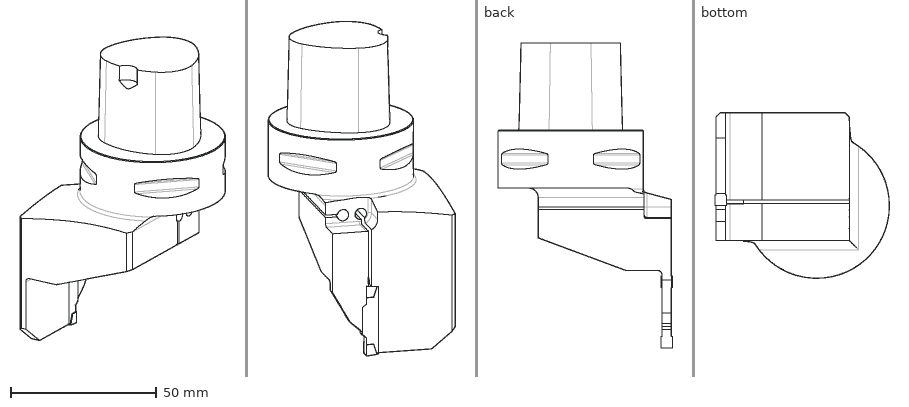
import cadquery as cq
import math

overlap = 1.0

flange_radius = 25.0
flange_height = 20.0
flange_chamfer = 0.3

groove_angles = (45, 135, 225, 315)
groove_floor_radius = 22.3
groove_centre_z = -10.0
groove_floor_width = 3.5
groove_mouth_width = 6.9
groove_floor_fillet = 0.7

shank_height = 30.0
shank_lobe_radius = 18.75
shank_flat_radius = 16.55
shank_seam_radius = 17.85
seam_half_angle = 24.6
first_lobe_angle = 90
lobe_count = 3
lobe_spacing = 360 / lobe_count
shank_taper = 1.4

notch_radius = 4.0
notch_axis_y = -17.3
notch_depth = 5.3
notch_point_depth = 3.2

block_left = -34.65
block_right = 11.2
block_front = -32.0
block_back = 12.0
flare_radius = 3.2
corner_chamfer = 1.5
block_right_bottom = -37.1
block_floor = -48.3
block_floor_end_x = -18.9

cone_angle = 15.0
cone_start_z = -21.2
cone_blend_radius = 1.2
cone_outer_radius = 60.0

blade_thickness = 3.3
blade_root_fillet = 1.5
blade_bottom = -74.2
blade_bottom_end_y = -23.2
blade_front_bottom = -67.2
arm_outline = ((block_back, -51.5), (5.5, -62.9), (1.4, -66.5))

pocket_wall_x = -25.2
pocket_side_y = -4.0
pocket_floor = -30.5
pocket_side_fillet = 4.0
pocket_wall_fillet = 1.0

relief_diameter = 4.0
relief_z = -26.9
outer_relief_y = 5.85
inner_relief_y = -0.5
outer_slot_width = 0.9
clamp_slot_width = 1.2
clamp_slot_y = -1.27

insert_length = 24.9
insert_top = -50.1
insert_centre_z = insert_top - insert_length / 2
insert_seat_y = -4.25
insert_end_relief = 0.4
insert_crown_y = 1.4
insert_crown_half_length = 4.95
insert_shoulder_half_length = 6.0
head_width = 4.0
head_half_length = 8.4
head_inner_y = -2.55
head_outer_y = -3.75
insert_centre_x = block_left + blade_thickness / 2


def polar(radius, degrees):
    angle = math.radians(degrees)
    return (radius * math.cos(angle), radius * math.sin(angle))


def make_flange():
    flange = cq.Workplane("XY").circle(flange_radius).extrude(-flange_height)
    return flange.faces(">Z").edges().chamfer(flange_chamfer)


def make_gripper_groove(angle):
    """Trapezoidal groove, widening outward from a rounded floor, cut across the flange rim."""
    depth = flange_radius - groove_floor_radius
    slope = (groove_mouth_width - groove_floor_width) / 2 / depth
    outer_radius = flange_radius + overlap
    floor_half = groove_floor_width / 2
    mouth_half = groove_mouth_width / 2 + slope * overlap
    groove = (
        cq.Workplane("XZ")
        .polyline([
            (groove_floor_radius, groove_centre_z - floor_half),
            (outer_radius, groove_centre_z - mouth_half),
            (outer_radius, groove_centre_z + mouth_half),
            (groove_floor_radius, groove_centre_z + floor_half),
        ])
        .close()
        .extrude(flange_radius, both=True)
    )
    groove = groove.faces("<X").edges("|Y").fillet(groove_floor_fillet)
    return groove.rotate((0, 0, 0), (0, 0, 1), angle)


def make_shank():
    """Six arcs, three lobes and three flatter sides, drawn out with a taper."""
    outline = cq.Workplane("XY").moveTo(*polar(shank_seam_radius, first_lobe_angle - seam_half_angle))
    for index in range(lobe_count):
        lobe = first_lobe_angle + index * lobe_spacing
        outline = outline.threePointArc(
            polar(shank_lobe_radius, lobe),
            polar(shank_seam_radius, lobe + seam_half_angle),
        )
        outline = outline.threePointArc(
            polar(shank_flat_radius, lobe + lobe_spacing / 2),
            polar(shank_seam_radius, lobe + lobe_spacing - seam_half_angle),
        )
    return outline.close().extrude(shank_height, taper=shank_taper)


def make_shank_notch():
    """Drilled hole with a conical point, breaking out through the side of the shank."""
    point_z = shank_height - notch_depth
    return (
        cq.Workplane("XZ")
        .polyline([
            (0, point_z - notch_point_depth),
            (notch_radius, point_z),
            (notch_radius, shank_height + overlap),
            (0, shank_height + overlap),
        ])
        .close()
        .revolve(360, (0, 0, 0), (0, 1, 0))
        .translate((0, notch_axis_y, 0))
    )


def make_block():
    """Block and blade: a front profile crossed with a side profile."""
    top = -flange_height
    flare_bottom = top - flare_radius
    flare_mid = flare_radius * (1 - math.sqrt(0.5))
    blade_right = block_left + blade_thickness
    front_profile = (
        cq.Workplane("XZ")
        .moveTo(block_left, top)
        .lineTo(block_right + flare_radius, top)
        .threePointArc((block_right + flare_mid, top - flare_mid), (block_right, flare_bottom))
        .lineTo(block_right, block_right_bottom)
        .lineTo(block_floor_end_x, block_floor)
        .lineTo(blade_right + blade_root_fillet, block_floor)
        .radiusArc((blade_right, block_floor - blade_root_fillet), -blade_root_fillet)
        .lineTo(blade_right, blade_bottom)
        .lineTo(block_left, blade_bottom)
        .close()
        .extrude(cone_outer_radius, both=True)
    )
    arm_tip_z = arm_outline[-1][1]
    side_profile = (
        cq.Workplane("YZ")
        .moveTo(block_front, top)
        .lineTo(block_back + flare_radius, top)
        .threePointArc((block_back + flare_mid, top - flare_mid), (block_back, flare_bottom))
    )
    for point in arm_outline:
        side_profile = side_profile.lineTo(*point)
    side_profile = (
        side_profile
        .lineTo(insert_seat_y, arm_tip_z)
        .lineTo(insert_seat_y, blade_bottom)
        .lineTo(blade_bottom_end_y, blade_bottom)
        .lineTo(block_front, blade_front_bottom)
        .close()
        .extrude(cone_outer_radius, both=True)
    )
    return front_profile.intersect(side_profile)


def make_corner_cutter(x, direction):
    """Prism that bevels one upright front corner of the block."""
    return (
        cq.Workplane("XY")
        .polyline([
            (x + direction * overlap, block_front - overlap),
            (x - direction * (corner_chamfer + overlap), block_front - overlap),
            (x + direction * overlap, block_front + corner_chamfer + overlap),
        ])
        .close()
        .extrude(blade_bottom - overlap)
    )


def make_shoulder_cone():
    """Space under the conical shoulder, blended into the flange rim."""
    fall = math.radians(cone_angle)
    tangent_length = cone_blend_radius * math.tan((math.pi / 2 - fall) / 2)
    blend_end = (
        flange_radius + tangent_length * math.cos(fall),
        cone_start_z - tangent_length * math.sin(fall),
    )
    cone_edge_z = cone_start_z - (cone_outer_radius - flange_radius) * math.tan(fall)
    bottom = blade_bottom - overlap
    return (
        cq.Workplane("XZ")
        .moveTo(0, bottom)
        .lineTo(cone_outer_radius, bottom)
        .lineTo(cone_outer_radius, cone_edge_z)
        .lineTo(*blend_end)
        .radiusArc((flange_radius, cone_start_z + tangent_length), cone_blend_radius)
        .lineTo(flange_radius, -flange_height)
        .lineTo(0, -flange_height)
        .close()
        .revolve(360, (0, 0, 0), (0, 1, 0))
    )


def make_arm_pocket():
    """Open space above the clamping arm, rounded along its floor and its side."""
    pocket = cq.Workplane("XY").box(
        pocket_wall_x - block_left + overlap,
        block_back + flare_radius + overlap - pocket_side_y,
        -flange_height - pocket_floor,
        centered=False,
    ).translate((block_left - overlap, pocket_side_y, pocket_floor))
    pocket = pocket.edges("|X and <Y and <Z").fillet(pocket_side_fillet)
    return pocket.faces(">X").edges("not >Z").edges("not >Y").fillet(pocket_wall_fillet)


def make_relief_cuts():
    """Two cross holes, the slot from the back to one and the clamp slot below the other."""
    holes = (
        cq.Workplane("YZ")
        .pushPoints([(outer_relief_y, relief_z), (inner_relief_y, relief_z)])
        .circle(relief_diameter / 2)
        .extrude(cone_outer_radius, both=True)
    )
    outer_slot_end = block_back + flare_radius + overlap
    outer_slot = (
        cq.Workplane("YZ")
        .center((outer_relief_y + outer_slot_end) / 2, relief_z)
        .rect(outer_slot_end - outer_relief_y, outer_slot_width)
        .extrude(cone_outer_radius, both=True)
    )
    clamp_slot_bottom = insert_top - overlap
    clamp_slot = (
        cq.Workplane("YZ")
        .center(clamp_slot_y, (relief_z + clamp_slot_bottom) / 2)
        .rect(clamp_slot_width, relief_z - clamp_slot_bottom)
        .extrude(cone_outer_radius, both=True)
    )
    return holes.union(outer_slot).union(clamp_slot)


def extrude_across_insert(outline, width):
    """Extrude a (y, distance from insert centre) outline across the insert."""
    return (
        cq.Workplane("YZ", origin=(insert_centre_x, 0, insert_centre_z))
        .polyline(outline)
        .close()
        .extrude(width / 2, both=True)
    )


def make_insert():
    end = insert_length / 2
    seat_end = end - insert_end_relief
    body = extrude_across_insert([
        (0, end),
        (0, insert_shoulder_half_length),
        (insert_crown_y, insert_crown_half_length),
        (insert_crown_y, -insert_crown_half_length),
        (0, -insert_shoulder_half_length),
        (0, -end),
        (insert_seat_y, -seat_end),
        (insert_seat_y, seat_end),
    ], blade_thickness)
    head_outer_end = end - insert_end_relief * head_outer_y / insert_seat_y
    for side in (1, -1):
        head = extrude_across_insert([
            (0, side * end),
            (0, side * head_half_length),
            (head_inner_y, side * head_half_length),
            (head_outer_y, side * head_outer_end),
        ], head_width)
        body = body.union(head)
    return body


def make_holder(insert):
    block = make_block()
    block = block.cut(make_corner_cutter(block_left, -1))
    block = block.cut(make_corner_cutter(block_right, 1))
    block = block.intersect(make_shoulder_cone())
    block = block.cut(make_arm_pocket())
    block = block.cut(make_relief_cuts())

    flange = make_flange()
    for angle in groove_angles:
        flange = flange.cut(make_gripper_groove(angle))

    shank = make_shank().cut(make_shank_notch())
    return flange.union(shank).union(block).cut(insert).solids()


insert = make_insert()
holder = make_holder(insert)

result = cq.Compound.makeCompound([holder.val(), insert.val()])